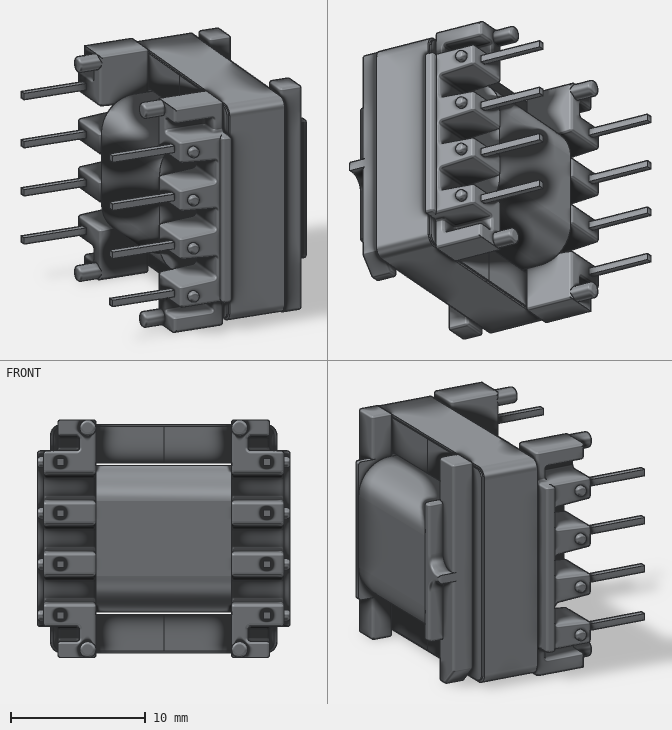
import cadquery as cq

EDGE_RADIUS = 0.23

TAPE_HALF_X = 8.42
TAPE_HALF_Y = 2.25
TAPE_HALF_Z = 8.5
TAPE_THICKNESS = 0.15
TAPE_SIDE_THICKNESS = 0.23
TAPE_CORNER_RADIUS = 0.85
CORE_HALF_X = TAPE_HALF_X - TAPE_SIDE_THICKNESS
CORE_HALF_Y = 2.39
CORE_HALF_Z = TAPE_HALF_Z - TAPE_THICKNESS
CORE_CORNER_RADIUS = TAPE_CORNER_RADIUS - TAPE_THICKNESS
WINDOW_HALF_X = 5.79
WINDOW_HALF_Z = 5.62
CENTRE_LEG_HALF_Z = 2.35

WINDING_HALF_X = 5.04
WINDING_HALF_Z = 5.45
WINDING_BACK_Y = 5.43
WINDING_FRONT_Y = -6.43
WINDING_CORNER_RADIUS = 2.65

OPENING_HALF_Y = 2.52
OPENING_HALF_Z = 2.48
FLANGE_OUTER_X = 5.64
TUBE_WALL = FLANGE_OUTER_X - WINDING_HALF_X
BOBBIN_HALF_Z = 8.845
BAR_OUTER_X = 7.22
BAR_BACK_Y = 4.25
BAR_END_CHAMFER = 1.35
KEY_HALF_Z = 0.34
KEY_ROOT_RADIUS = 1.13

RIM_OUTER_X = 9.4
RIM_FRONT_Y = -3.29
BLOCK_OUTER_X = 8.93
BLOCK_HALF_Z = 6.55
BLOCK_FRONT_Y = -6.56
END_BLOCK_OUTER_X = 7.88
SLOT_OUTER_Z = 7.63
SLOT_INNER_X = 6.26

VALLEY_FLOOR_Y = -3.53
VALLEY_FLOOR_HALF_Z = 0.86
VALLEY_MOUTH_HALF_Z = 1.07
VALLEY_ROOT_RADIUS = 0.28

PIN_COUNT = 4
PIN_PITCH = 3.8
PIN_X = 7.67
PIN_WIDTH = 0.5
PIN_TIP_Y = -11.67
STUB_RADIUS = 0.41
STUB_Y = -5.56
PEG_RADIUS = 0.6
PEG_TIP_Y = -8.18


def box(x0, x1, y0, y1, z0, z1):
    return cq.Workplane("XY").box(x1 - x0, y1 - y0, z1 - z0, centered=False).translate((x0, y0, z0))


def centred_box(half_x, half_y, half_z):
    return box(-half_x, half_x, -half_y, half_y, -half_z, half_z)


def spaced(count):
    """Z places of `count` features at the pin pitch, centred on Z = 0."""
    return [(i - (count - 1) / 2) * PIN_PITCH for i in range(count)]


def convex_edges(body):
    """The outward-pointing sharp edges: just inside one face there is no material past the other."""
    solid = body.val()
    probe = EDGE_RADIUS / 20
    found = []
    for edge in solid.Edges():
        sides = [face for face in solid.Faces() if any(edge.isSame(other) for other in face.Edges())]
        if len(sides) != 2:
            continue
        middle = edge.positionAt(0.5)
        first, second = (face.normalAt(middle) for face in sides)
        is_sharp = first.getAngle(second) > 0.2
        if is_sharp and not solid.isInside(middle + (first - second) * probe):
            found.append(edge)
    return found


def round_convex_edges(body, sharp_edges=()):
    """Rounds every outward edge except those through the points in `sharp_edges`."""
    edges = [
        edge
        for edge in convex_edges(body)
        if all(edge.distance(cq.Vertex.makeVertex(*point)) > 0.002 for point in sharp_edges)
    ]
    return cq.Workplane(body.val().fillet(EDGE_RADIUS, edges))


def core_half():
    """The E half on the -X side: back, two outer legs and a centre leg."""
    half = box(-CORE_HALF_X, 0, -CORE_HALF_Y, CORE_HALF_Y, -CORE_HALF_Z, CORE_HALF_Z)
    half = half.edges("|Y and <X").fillet(CORE_CORNER_RADIUS)
    window = box(-WINDOW_HALF_X, 0, -CORE_HALF_Y, CORE_HALF_Y, CENTRE_LEG_HALF_Z, WINDOW_HALF_Z)
    return half.cut(window).cut(window.mirror("XY"))


def tape_band():
    """The band wrapped once round the outside of both core halves."""
    outer = centred_box(TAPE_HALF_X, TAPE_HALF_Y, TAPE_HALF_Z).edges("|Y").fillet(TAPE_CORNER_RADIUS)
    inner = centred_box(CORE_HALF_X, TAPE_HALF_Y, CORE_HALF_Z).edges("|Y").fillet(CORE_CORNER_RADIUS)
    return outer.cut(inner)


def tube_outside():
    return centred_box(WINDING_HALF_X, OPENING_HALF_Y + TUBE_WALL, OPENING_HALF_Z + TUBE_WALL)


def winding_coil():
    coil = box(
        -WINDING_HALF_X, WINDING_HALF_X, WINDING_FRONT_Y, WINDING_BACK_Y, -WINDING_HALF_Z, WINDING_HALF_Z
    )
    return coil.edges("|X").fillet(WINDING_CORNER_RADIUS).cut(tube_outside())


def flange(has_key):
    """The wall beside the winding, with an optional flared key on its outer face."""
    wall = box(
        -FLANGE_OUTER_X, -WINDING_HALF_X, RIM_FRONT_Y, WINDING_BACK_Y, -WINDING_HALF_Z, WINDING_HALF_Z
    )
    if has_key:
        key = box(
            -BAR_OUTER_X, -WINDING_HALF_X, BAR_BACK_Y - EDGE_RADIUS, WINDING_BACK_Y, -KEY_HALF_Z, KEY_HALF_Z
        )
        flare = (
            cq.Workplane("XZ", origin=(0, WINDING_BACK_Y, 0))
            .moveTo(-FLANGE_OUTER_X, -KEY_HALF_Z - KEY_ROOT_RADIUS)
            .radiusArc((-FLANGE_OUTER_X - KEY_ROOT_RADIUS, -KEY_HALF_Z), -KEY_ROOT_RADIUS)
            .lineTo(-FLANGE_OUTER_X - KEY_ROOT_RADIUS, KEY_HALF_Z)
            .radiusArc((-FLANGE_OUTER_X, KEY_HALF_Z + KEY_ROOT_RADIUS), -KEY_ROOT_RADIUS)
            .close()
            .extrude(WINDING_BACK_Y - BAR_BACK_Y + EDGE_RADIUS)
        )
        wall = wall.union(key).union(flare)
    wall = wall.faces("<Z or >Z").edges("|Y and <X").fillet(EDGE_RADIUS)
    return wall.faces(">Y").edges("not >X").fillet(EDGE_RADIUS)


def back_bar(is_keyed):
    """The bar across the back of the flange; the keyed one has its lower corner cut off."""
    bar = box(-BAR_OUTER_X, -WINDING_HALF_X, OPENING_HALF_Y, BAR_BACK_Y, -BOBBIN_HALF_Z, BOBBIN_HALF_Z)
    if is_keyed:
        bar = bar.edges("<X and <Z").chamfer(BAR_END_CHAMFER)
    return round_convex_edges(bar)


def valley(z):
    """The tapered gap between two neighbouring terminal blocks."""
    return (
        cq.Workplane("YZ", origin=(-BLOCK_OUTER_X, 0, z))
        .moveTo(VALLEY_FLOOR_Y, -VALLEY_FLOOR_HALF_Z)
        .lineTo(VALLEY_FLOOR_Y, VALLEY_FLOOR_HALF_Z)
        .lineTo(BLOCK_FRONT_Y, VALLEY_MOUTH_HALF_Z)
        .lineTo(BLOCK_FRONT_Y, -VALLEY_MOUTH_HALF_Z)
        .close()
        .extrude(BLOCK_OUTER_X - WINDING_HALF_X)
        .faces(">Y").edges("|X").fillet(VALLEY_ROOT_RADIUS)
    )


def end_slot(side):
    """The slot between the outermost terminal block and the end block on one side of Z = 0."""
    z_bottom, z_top = sorted((side * BLOCK_HALF_Z, side * SLOT_OUTER_Z))
    slot = box(-END_BLOCK_OUTER_X, -SLOT_INNER_X, BLOCK_FRONT_Y, RIM_FRONT_Y, z_bottom, z_top)
    return slot.edges("(|Y and >X) or (>Y and |X) or (>Y and >X)").fillet(EDGE_RADIUS)


def terminal_blocks():
    inner_x = -WINDING_HALF_X
    back_y = -OPENING_HALF_Y
    rim = box(-RIM_OUTER_X, -END_BLOCK_OUTER_X, RIM_FRONT_Y, back_y, -BLOCK_HALF_Z, BLOCK_HALF_Z)
    comb = box(-BLOCK_OUTER_X, inner_x, BLOCK_FRONT_Y, back_y, -BLOCK_HALF_Z, BLOCK_HALF_Z)
    end_blocks = box(-END_BLOCK_OUTER_X, inner_x, BLOCK_FRONT_Y, back_y, -BOBBIN_HALF_Z, BOBBIN_HALF_Z)
    blocks = comb.union(end_blocks)
    for z in spaced(PIN_COUNT - 1):
        blocks = blocks.cut(valley(z))
    for side in (-1, 1):
        blocks = blocks.cut(end_slot(side))
        web_corner = (-END_BLOCK_OUTER_X, (RIM_FRONT_Y + back_y) / 2, side * BLOCK_HALF_Z)
        blocks = blocks.edges(cq.selectors.NearestToPointSelector(web_corner)).fillet(EDGE_RADIUS)
    end_x = -(END_BLOCK_OUTER_X + WINDING_HALF_X) / 2
    sharp_edges = [(end_x, BLOCK_FRONT_Y, z) for z in (-BOBBIN_HALF_Z, BOBBIN_HALF_Z)]
    return round_convex_edges(blocks, sharp_edges).union(round_convex_edges(rim))


def round_tipped_rod(root, direction, length, radius):
    rod = cq.Workplane(cq.Solid.makeCylinder(radius, length, root, direction))
    tip = root + direction * length
    return rod.edges(cq.selectors.NearestToPointSelector(tip.toTuple())).fillet(EDGE_RADIUS)


def terminals():
    """Square pins, each with the round stub where its wire is tied."""
    pins = []
    for z in spaced(PIN_COUNT):
        pin = box(-PIN_WIDTH / 2, PIN_WIDTH / 2, PIN_TIP_Y, BLOCK_FRONT_Y, -PIN_WIDTH / 2, PIN_WIDTH / 2)
        pins.append(pin.translate((-PIN_X, 0, z)))
        stub_root = cq.Vector(-BLOCK_OUTER_X, STUB_Y, z)
        pins.append(round_tipped_rod(stub_root, cq.Vector(-1, 0, 0), RIM_OUTER_X - BLOCK_OUTER_X, STUB_RADIUS))
    return pins


def pegs():
    """Standoff pegs in the inner corners of the end blocks."""
    root_y = BLOCK_FRONT_Y + EDGE_RADIUS
    peg_z = BOBBIN_HALF_Z - PEG_RADIUS
    return [
        round_tipped_rod(
            cq.Vector(-WINDING_HALF_X - PEG_RADIUS, root_y, z), cq.Vector(0, -1, 0), root_y - PEG_TIP_Y, PEG_RADIUS
        )
        for z in (-peg_z, peg_z)
    ]


def bobbin_end(is_keyed):
    end = terminal_blocks().union(flange(is_keyed)).union(back_bar(is_keyed))
    for piece in terminals() + pegs():
        end = end.union(piece)
    return end


def whole_bobbin():
    opening = centred_box(FLANGE_OUTER_X, OPENING_HALF_Y, OPENING_HALF_Z)
    plain_end = bobbin_end(False).mirror("YZ")
    return tube_outside().union(bobbin_end(True)).union(plain_end).cut(opening)


left_core = core_half()
right_core = core_half().mirror("YZ")
tape = tape_band()
winding = winding_coil()
bobbin = whole_bobbin()

result = cq.Compound.makeCompound(
    [left_core.val(), right_core.val(), tape.val(), winding.val(), *bobbin.vals()]
)